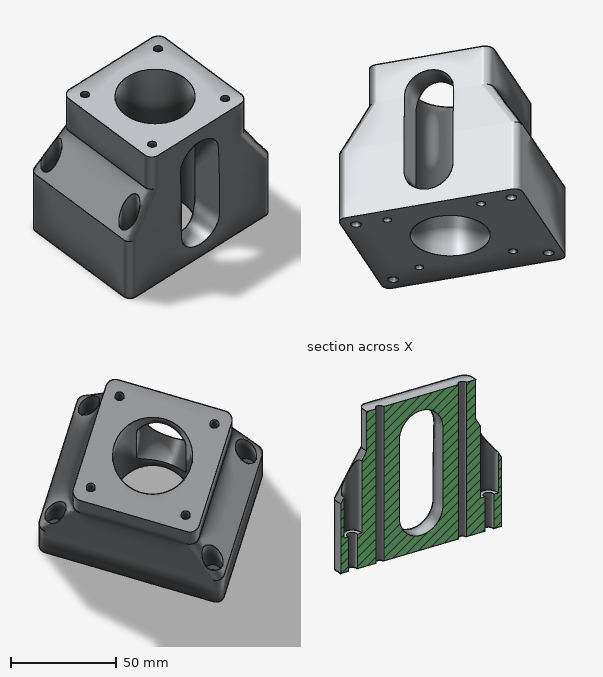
import cadquery as cq

base_width = 70.0
base_length = 92.0
base_height = 37.0
base_corner_radius = 4.05

total_height = 82.1
head_side = 62.6
head_offset = 3.0
head_height = 21.0
head_corner_radius = 4.7
head_bottom = total_height - head_height

bore_diameter = 38.1
head_hole_diameter = 4.2
head_hole_spacing = 47.2

mount_hole_diameter = 5.1
mount_seat_diameter = 10.0
mount_spacing_x = 54.9
mount_spacing_y = 78.1
mount_seat_height = base_height / 2

slot_width = 24.7
slot_end_margin = 8.1
slot_length = total_height - 2 * slot_end_margin


def rounded_block(width, length, height, radius):
    """Upright block standing on Z = 0 with rounded vertical edges."""
    block = cq.Workplane("XY").box(width, length, height, centered=(True, True, False))
    return block.edges("|Z").fillet(radius)


def housing():
    """Base and head joined by a tapered transition."""
    base = rounded_block(base_width, base_length, base_height, base_corner_radius)
    head = rounded_block(head_side, head_side, head_height, head_corner_radius)
    head = head.translate((head_offset, 0, head_bottom))
    lower_outline = base.faces(">Z").wires().val()
    upper_outline = head.faces("<Z").wires().val()
    transition = cq.Solid.makeLoft([lower_outline, upper_outline], True)
    return base.union(cq.Workplane(transition)).union(head)


def vertical_cylinders(diameter, centre_x, spacing_x, spacing_y, bottom):
    """Four cylinders on a rectangular pattern, from bottom up to the head's top."""
    return (
        cq.Workplane("XY", origin=(centre_x, 0, bottom))
        .rarray(spacing_x, spacing_y, 2, 2)
        .circle(diameter / 2)
        .extrude(total_height - bottom)
    )


def side_slot():
    """Upright round-ended slot, running along +X from the bore axis."""
    return (
        cq.Workplane("YZ", origin=(head_offset, 0, total_height / 2))
        .slot2D(slot_length, slot_width, angle=90)
        .extrude(base_width)
    )


bore = cq.Workplane("XY").center(head_offset, 0).circle(bore_diameter / 2).extrude(total_height)
head_holes = vertical_cylinders(head_hole_diameter, head_offset, head_hole_spacing, head_hole_spacing, 0)
mount_holes = vertical_cylinders(mount_hole_diameter, 0, mount_spacing_x, mount_spacing_y, 0)
mount_seats = vertical_cylinders(
    mount_seat_diameter, 0, mount_spacing_x, mount_spacing_y, mount_seat_height
)

result = housing()
for cutter in (bore, head_holes, mount_holes, mount_seats, side_slot()):
    result = result.cut(cutter)